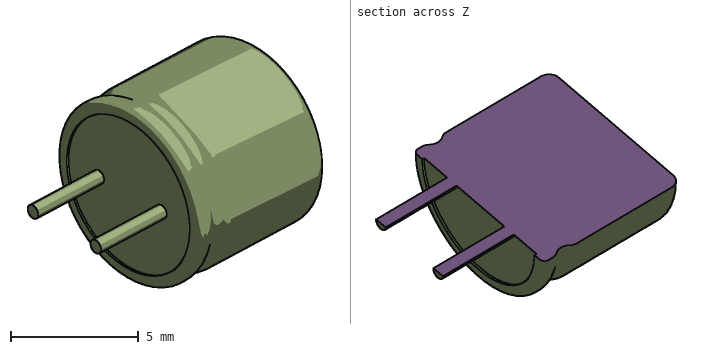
import cadquery as cq
import math


can_diameter = 8.0
can_length = 7.0
closed_end_fillet = 0.5
base_fillet = 0.25

groove_center_y = 1.075
groove_width = 1.25
crimp_arc_radius = 0.5

recess_diameter = 6.86
recess_depth = 0.1

lead_diameter = 0.6
lead_spacing = 3.5
lead_length = 3.5

can_radius = can_diameter / 2

crimp_angle = math.asin(groove_width / 4 / crimp_arc_radius)
crimp_arc_drop = crimp_arc_radius * (1 - math.cos(crimp_angle))
crimp_arc_mid_drop = crimp_arc_radius * (1 - math.cos(crimp_angle / 2))
crimp_arc_mid_offset = crimp_arc_radius * math.sin(crimp_angle / 2)

blend_radius = can_radius - crimp_arc_drop
blend_offset = groove_width / 4
floor_radius = can_radius - 2 * crimp_arc_drop
edge_offset = groove_width / 2
blend_mid = (can_radius - crimp_arc_mid_drop, edge_offset - crimp_arc_mid_offset)


def make_can():
    """Revolve the half outline (radius, Y) of the solid can about the Y axis."""
    outline = (
        cq.Workplane("XY")
        .lineTo(can_radius - base_fillet, 0)
        .radiusArc((can_radius, base_fillet), -base_fillet)
        .lineTo(can_radius, groove_center_y - edge_offset)
        .threePointArc(
            (blend_mid[0], groove_center_y - blend_mid[1]),
            (blend_radius, groove_center_y - blend_offset),
        )
        .threePointArc(
            (floor_radius, groove_center_y),
            (blend_radius, groove_center_y + blend_offset),
        )
        .threePointArc(
            (blend_mid[0], groove_center_y + blend_mid[1]),
            (can_radius, groove_center_y + edge_offset),
        )
        .lineTo(can_radius, can_length - closed_end_fillet)
        .radiusArc((can_radius - closed_end_fillet, can_length), -closed_end_fillet)
        .lineTo(0, can_length)
        .close()
    )
    return outline.revolve(360, (0, 0, 0), (0, 1, 0))


def cylinder_along_y(diameter, start_y, end_y, center_x=0):
    """Cylinder parallel to Y between two Y positions."""
    base_center = cq.Vector(center_x, start_y, 0)
    return cq.Workplane(
        cq.Solid.makeCylinder(diameter / 2, end_y - start_y, base_center, cq.Vector(0, 1, 0))
    )


def add_leads(body):
    """Join both leads, which start on the floor of the base recess."""
    for side in (-1, 1):
        lead = cylinder_along_y(lead_diameter, -lead_length, recess_depth, side * lead_spacing / 2)
        body = body.union(lead)
    return body


can = make_can().cut(cylinder_along_y(recess_diameter, 0, recess_depth))
result = add_leads(can)